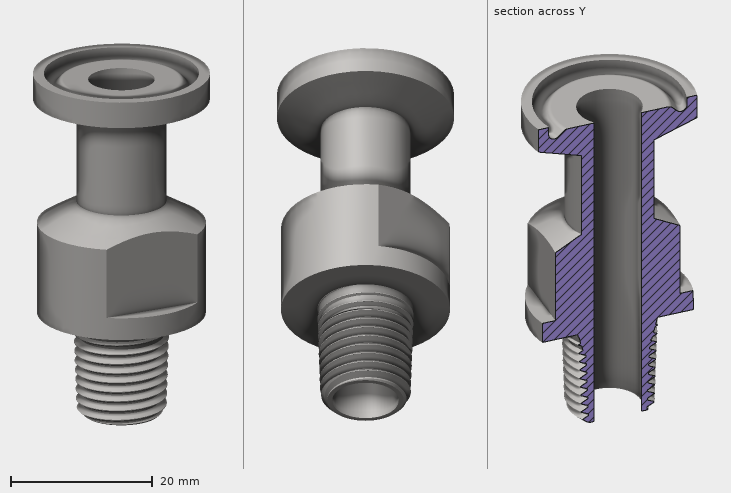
import cadquery as cq
import math

INCH = 25.4

total_height = 2.0 * INCH
thread_length = 15.08
flat_ledge = 3.25
neck_bottom_depth = 0.75 * INCH
flange_edge_height = 3.8
flange_underside_height = 2.14

flange_radius = 12.5
neck_radius = 0.25 * INCH
body_radius = 11.93
bore_radius = 4.7
shoulder_angle = 30.0
wrench_width = 0.75 * INCH

seat_outer_radius = 10.95
land_radius = 8.23
land_depth = 0.9
seat_round_radius = 0.82
seat_slope_angle = 45.0

thread_pitch = INCH / 18.0
taper_slope = 1.0 / 32.0
taper_angle = math.degrees(math.atan(taper_slope))
thread_top_radius = 6.83
thread_depth = 0.95
thread_flank_angle = 30.0
crest_flat = 0.08
end_radius = 5.4
groove_start_height = -0.8
groove_start_angle = 17.0
groove_overcut = 0.15
runout_length = 3.5
runout_root_radius = 6.0
runout_top_radius = 6.8
runout_turn_angle = 220.0

thread_end_radius = thread_top_radius - taper_slope * thread_length
end_chamfer = thread_end_radius - end_radius
neck_bottom = total_height - neck_bottom_depth
shoulder_height = (body_radius - neck_radius) * math.tan(math.radians(shoulder_angle))
flange_edge_bottom = total_height - flange_edge_height
neck_top = flange_edge_bottom - flange_underside_height


def make_body():
    """Turned outline: tapered spigot, wrench body, neck and clamp flange."""
    chamfer_radius = thread_end_radius + taper_slope * end_chamfer
    outline = (
        cq.Workplane("XZ")
        .lineTo(end_radius, 0)
        .lineTo(chamfer_radius, end_chamfer)
        .lineTo(thread_top_radius, thread_length)
        .lineTo(body_radius, thread_length)
        .lineTo(body_radius, neck_bottom - shoulder_height)
        .lineTo(neck_radius, neck_bottom)
        .lineTo(neck_radius, neck_top)
        .lineTo(flange_radius, flange_edge_bottom)
        .lineTo(flange_radius, total_height)
        .lineTo(0, total_height)
        .close()
    )
    return outline.revolve(360, (0, 0, 0), (0, 1, 0))


def make_thread_groove():
    """Tapered right-hand helical V groove, from below the threaded end up to the body."""
    start_radius = thread_end_radius + taper_slope * groove_start_height
    height = thread_length - groove_start_height
    helix = cq.Wire.makeHelix(thread_pitch, height, start_radius, angle=taper_angle)
    flank = math.tan(math.radians(thread_flank_angle))
    mouth_half = (thread_pitch - crest_flat) / 2.0
    root_half = mouth_half - thread_depth * flank
    profile = (
        cq.Workplane("XZ")
        .moveTo(start_radius - thread_depth, -root_half)
        .lineTo(start_radius, -mouth_half)
        .lineTo(start_radius + groove_overcut, -mouth_half)
        .lineTo(start_radius + groove_overcut, mouth_half)
        .lineTo(start_radius, mouth_half)
        .lineTo(start_radius - thread_depth, root_half)
        .close()
    )
    groove = profile.sweep(cq.Workplane(obj=helix), isFrenet=True)
    groove = groove.rotate((0, 0, 0), (0, 0, 1), groove_start_angle)
    return groove.translate((0, 0, groove_start_height))


def make_thread_runout():
    """Flared core that fades out the thread, with a disc that closes the groove off at the body."""
    runout_bottom = thread_length - runout_length
    outline = (
        cq.Workplane("XZ")
        .moveTo(0, runout_bottom)
        .lineTo(runout_root_radius, runout_bottom)
        .lineTo(runout_top_radius, thread_length)
        .lineTo(wrench_width / 2.0, thread_length)
        .lineTo(wrench_width / 2.0, thread_length + flat_ledge)
        .lineTo(0, thread_length + flat_ledge)
        .close()
    )
    runout = outline.revolve(360, (0, 0, 0), (0, 1, 0))
    return runout.rotate((0, 0, 0), (0, 0, 1), runout_turn_angle)


def make_gasket_seat():
    """Recess in the flange face with a round-bottomed groove around a round-edged land."""
    slope = math.radians(seat_slope_angle)
    round_radius = seat_round_radius
    groove_centre_radius = seat_outer_radius - round_radius
    slope_top_radius = land_radius + round_radius * math.sin(slope)
    slope_top_depth = land_depth + round_radius * (1.0 - math.cos(slope))
    slope_foot_radius = groove_centre_radius - round_radius * math.sin(slope)
    slope_foot_depth = slope_top_depth + (slope_foot_radius - slope_top_radius) * math.tan(slope)
    wall_depth = slope_foot_depth - round_radius * math.cos(slope)
    half_slope = slope / 2.0
    land_mid = (
        land_radius + round_radius * math.sin(half_slope),
        -land_depth - round_radius * (1.0 - math.cos(half_slope)),
    )
    groove_bottom = (groove_centre_radius, -wall_depth - round_radius)
    outline = (
        cq.Workplane("XZ", origin=(0, 0, total_height))
        .lineTo(seat_outer_radius, 0)
        .lineTo(seat_outer_radius, -wall_depth)
        .threePointArc(groove_bottom, (slope_foot_radius, -slope_foot_depth))
        .lineTo(slope_top_radius, -slope_top_depth)
        .threePointArc(land_mid, (land_radius, -land_depth))
        .lineTo(0, -land_depth)
        .close()
    )
    return outline.revolve(360, (0, 0, 0), (0, 1, 0))


def make_wrench_cuts():
    """Two slabs that leave a pair of flats across X above the ledge."""
    bottom = thread_length + flat_ledge
    height = neck_bottom - bottom
    depth = flange_radius
    cuts = cq.Workplane("XY")
    for side in (-1, 1):
        centre = side * (wrench_width + depth) / 2.0
        slab = (
            cq.Workplane("XY", origin=(centre, 0, bottom))
            .rect(depth, 2 * flange_radius)
            .extrude(height)
        )
        cuts = cuts.add(slab)
    return cuts.combine()


def make_bore():
    """Straight bore through the whole length."""
    return cq.Workplane("XY").circle(bore_radius).extrude(total_height)


result = (
    make_body()
    .cut(make_thread_groove())
    .union(make_thread_runout())
    .cut(make_wrench_cuts())
    .cut(make_gasket_seat())
    .cut(make_bore())
)